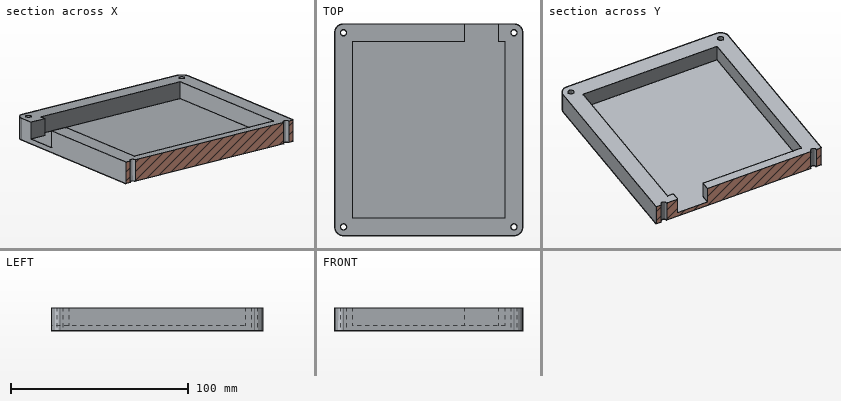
import cadquery as cq

width = 106.0
length = 119.4
height = 13.0
corner_radius = 5.0

wall = 10.0
floor_thickness = 3.0
pocket_width = width - 2 * wall
pocket_length = length - 2 * wall
pocket_depth = height - floor_thickness

notch_width = 19.0
notch_offset = 3.8

hole_diameter = 3.3
hole_spacing_x = width - 2 * corner_radius
hole_spacing_y = length - 2 * corner_radius


def make_body():
    block = cq.Workplane("XY").box(width, length, height, centered=(True, True, False))
    return block.edges("|Z").fillet(corner_radius)


def make_pocket():
    return (
        cq.Workplane("XY", origin=(0, 0, floor_thickness))
        .box(pocket_width, pocket_length, pocket_depth, centered=(True, True, False))
    )


def make_notch():
    center_x = pocket_width / 2 - notch_offset - notch_width / 2
    return (
        cq.Workplane("XY", origin=(center_x, pocket_length / 2, floor_thickness))
        .box(notch_width, wall, pocket_depth, centered=(True, False, False))
    )


def make_screw_holes():
    return (
        cq.Workplane("XY")
        .rect(hole_spacing_x, hole_spacing_y, forConstruction=True)
        .vertices()
        .circle(hole_diameter / 2)
        .extrude(height)
    )


result = make_body().cut(make_pocket()).cut(make_notch()).cut(make_screw_holes())